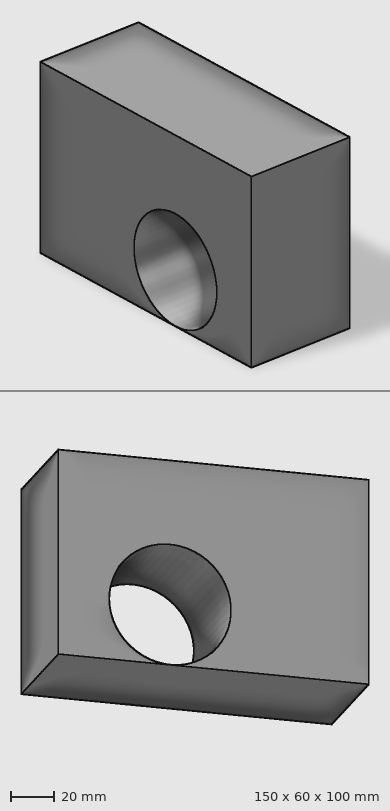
import cadquery as cq

length = 150.0
depth = 60.0
height = 100.0

bore_diameter = 58.8
bore_x = 96.0
bottom_web = 0.2
bore_z = bottom_web + bore_diameter / 2


def make_block():
    return cq.Workplane("XY").box(length, depth, height, centered=False)


def make_bore():
    return (
        cq.Workplane("XZ")
        .center(bore_x, bore_z)
        .circle(bore_diameter / 2)
        .extrude(-depth)
    )


result = make_block().cut(make_bore())